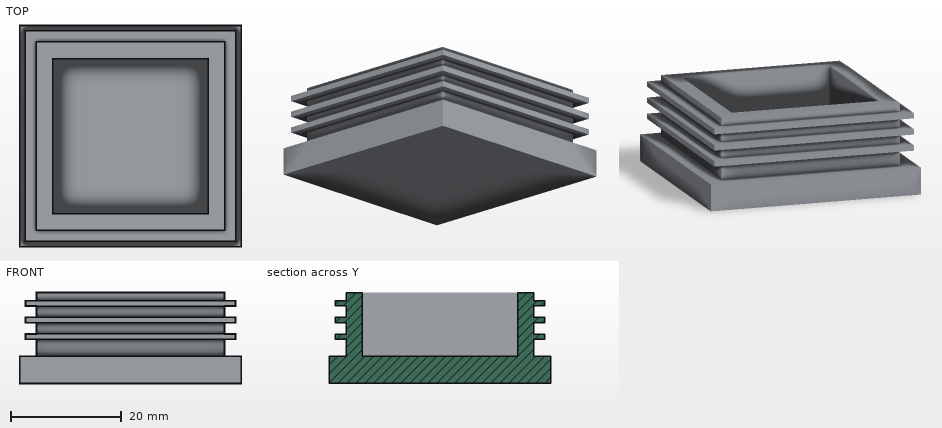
import cadquery as cq

flange_width = 40.0
flange_height = 5.0
total_height = 16.5

plug_width = 34.0
wall = 3.0
cavity_width = plug_width - 2 * wall
plug_height = total_height - flange_height

fin_width = 38.0
fin_thickness = 1.0
fin_pitch = 3.0
fin_count = 3
first_fin_z = flange_height + fin_pitch


def square_block(width, height, bottom_z):
    """Square block centred on the Z axis, standing on bottom_z."""
    return cq.Workplane("XY").workplane(offset=bottom_z).rect(width, width).extrude(height)


result = square_block(flange_width, flange_height, 0)
result = result.union(square_block(plug_width, plug_height, flange_height))

for index in range(fin_count):
    fin_z = first_fin_z + index * fin_pitch
    result = result.union(square_block(fin_width, fin_thickness, fin_z))

result = result.cut(square_block(cavity_width, plug_height, flange_height))